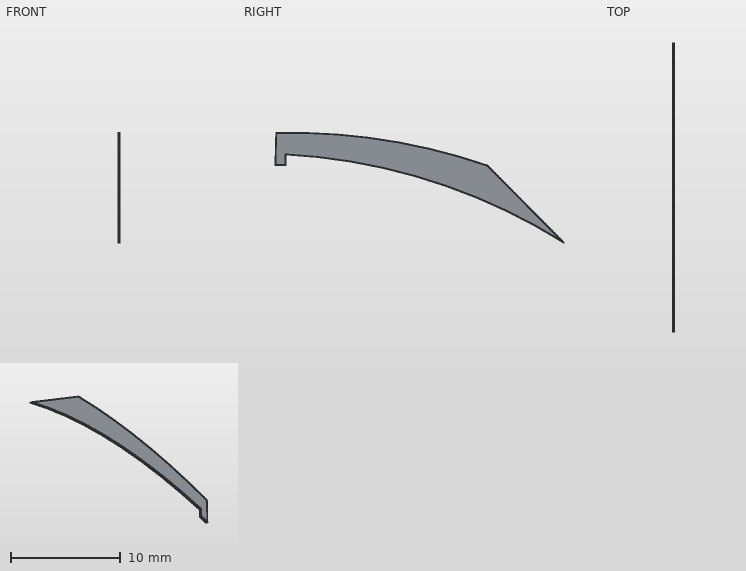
import cadquery as cq

thickness = 0.16
length = 26.3

hook_width = 0.95
hook_bottom = 7.05
hook_top = 8.02
root_top = 10.0
root_lean = 0.08

shoulder_y = 19.33
shoulder_z = 7.02

back_mid_y = 9.73
back_mid_z = 9.4
belly_mid_y = 13.28
belly_mid_z = 5.9

profile = (
    cq.Workplane("YZ")
    .moveTo(0, hook_bottom)
    .lineTo(root_lean, root_top)
    .threePointArc((back_mid_y, back_mid_z), (shoulder_y, shoulder_z))
    .lineTo(length, 0)
    .threePointArc((belly_mid_y, belly_mid_z), (hook_width, hook_top))
    .lineTo(hook_width, hook_bottom)
    .close()
)

result = profile.extrude(thickness)